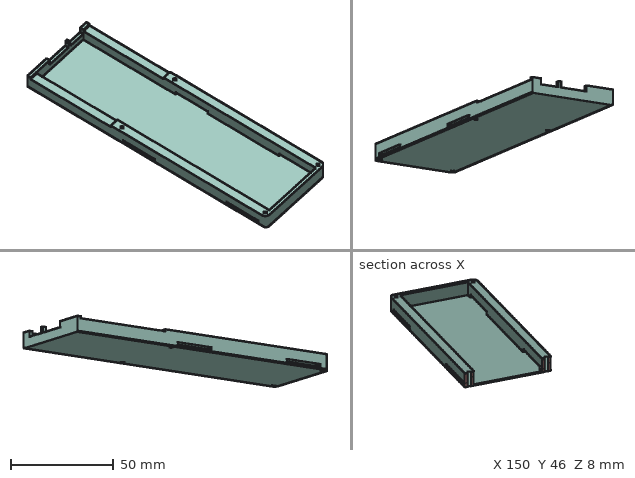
import cadquery as cq

length = 150.0
width = 46.0
height = 8.0
full_width = (-width / 2, width / 2)
corner_radius = 2.5
bottom_chamfer = 0.5

end_wall = 2.0
side_wall = 5.0
floor_thickness = 1.0
pocket_width = width - 2 * side_wall

rail_step_end = 52.5
rail_step_depth = 1.0

slot_length = 20.0
slot_starts = (60.0, 125.0)
slot_height = 1.5

hole_diameter = 1.6
hole_inset = 2.5
hole_positions_x = (57.5, length - hole_inset)
hole_offset_y = width / 2 - hole_inset

notch_depth = 3.0
notch_spans = ((-8.0, 6.5), (8.0, pocket_width / 2))


def block(x_span, y_span, z_span):
    """Axis-aligned box between the given (lower, upper) limits."""
    lows, highs = zip(x_span, y_span, z_span)
    sizes = [high - low for low, high in zip(lows, highs)]
    return cq.Workplane("XY").box(*sizes, centered=False).translate(lows)


def tray_body():
    """Outer block with its long bottom edges chamfered and the right-hand corners rounded."""
    body = block((0, length), full_width, (0, height))
    body = body.edges("|X and <Z").chamfer(bottom_chamfer)
    return body.edges("|Z and >X").fillet(corner_radius)


def pocket():
    inner_y = (-pocket_width / 2, pocket_width / 2)
    return block((end_wall, length - end_wall), inner_y, (floor_thickness, height))


def rail_step():
    return block((end_wall, rail_step_end), full_width, (height - rail_step_depth, height))


def strap_slot(start):
    slot_top = floor_thickness + slot_height
    return block((start, start + slot_length), full_width, (floor_thickness, slot_top))


def notch(y_span):
    return block((0, end_wall), y_span, (height - notch_depth, height))


def screw_holes():
    centers = [(x, y) for x in hole_positions_x for y in (-hole_offset_y, hole_offset_y)]
    return cq.Workplane("XY").pushPoints(centers).circle(hole_diameter / 2).extrude(height)


result = tray_body().cut(pocket()).cut(rail_step()).cut(screw_holes())
for slot_start in slot_starts:
    result = result.cut(strap_slot(slot_start))
for notch_span in notch_spans:
    result = result.cut(notch(notch_span))